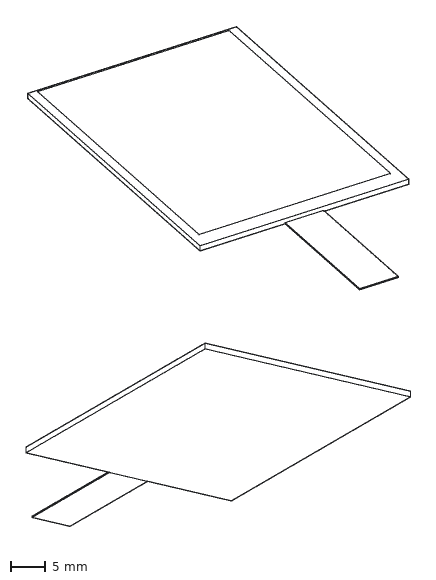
import cadquery as cq

total_length = 69.6
panel_length = 48.6
panel_width = 35.4
panel_thickness = 0.9

screen_left_margin = 0.35
screen_right_margin = 2.7
screen_side_margin = 1.45
screen_thickness = 0.2

tail_width = 6.55
tail_thickness = 0.2

screen_length = panel_length - screen_left_margin - screen_right_margin
screen_width = panel_width - 2 * screen_side_margin
screen_bottom = panel_thickness - screen_thickness
tail_length = total_length - panel_length


def make_plate(start_x, bottom_z, length, width, thickness):
    """Rectangular plate, centred on Y, starting at the given X and Z."""
    return cq.Workplane("XY").box(
        length, width, thickness, centered=(False, True, False)
    ).translate((start_x, 0, bottom_z))


def make_screen():
    """Thin active area, flush with the top of the panel."""
    return make_plate(screen_left_margin, screen_bottom, screen_length, screen_width, screen_thickness)


def make_panel():
    """Display panel with a shallow recess that holds the screen."""
    return make_plate(0, 0, panel_length, panel_width, panel_thickness).cut(make_screen())


def make_tail():
    """Flat flexible tail, butted against the panel end and level with its underside."""
    return make_plate(panel_length, 0, tail_length, tail_width, tail_thickness)


panel = make_panel()
screen = make_screen()
tail = make_tail()

result = cq.Compound.makeCompound([panel.val(), screen.val(), tail.val()])